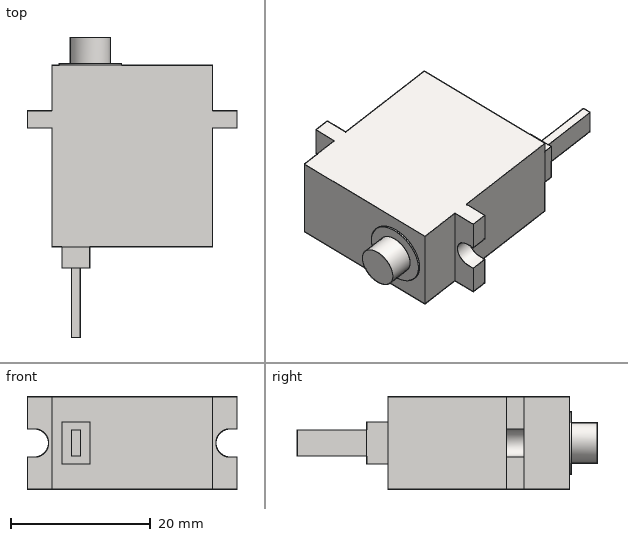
import cadquery as cq

case_width = 23.0
case_length = 26.0
case_height = 13.25

ear_span = 30.0
ear_thickness = 2.5
ear_setback = 6.5
slot_width = 4.0
slot_depth = 3.0

shaft_diameter = 5.8
shaft_length = 4.0
shaft_inset = 5.5
collar_diameter = 9.0
collar_thickness = 0.25

cable_inset = 3.45
relief_width = 4.0
relief_height = 6.0
relief_length = 3.0
cable_width = 1.3
cable_height = 3.75

total_length = 43.0
output_face = total_length / 2 - shaft_length
rear_face = output_face - case_length
relief_end = rear_face - relief_length
cable_length = total_length / 2 + relief_end
ear_front = output_face - ear_setback

case_side = -case_width / 2
shaft_x = case_side + shaft_inset
cable_x = case_side + cable_inset


def block(width, height, y_front, length, x=0):
    """Box centred on x and Z = 0 that runs from y_front towards -Y."""
    return cq.Workplane("XY").box(width, length, height).translate((x, y_front - length / 2, 0))


def output_cylinder(diameter, length):
    """Cylinder on the shaft axis that rises from the output face."""
    return (
        cq.Workplane("XZ", origin=(shaft_x, output_face, 0))
        .circle(diameter / 2)
        .extrude(-length)
    )


def ears():
    """Full-height plate with a round-ended screw slot open at each end."""
    plate = block(ear_span, case_height, ear_front, ear_thickness)
    slots = (
        cq.Workplane("XZ", origin=(0, ear_front, 0))
        .pushPoints([(-ear_span / 2, 0), (ear_span / 2, 0)])
        .slot2D(2 * slot_depth, slot_width)
        .extrude(ear_thickness)
    )
    return plate.cut(slots)


result = (
    block(case_width, case_height, output_face, case_length)
    .union(ears())
    .union(output_cylinder(collar_diameter, collar_thickness))
    .union(output_cylinder(shaft_diameter, shaft_length))
    .union(block(relief_width, relief_height, rear_face, relief_length, cable_x))
    .union(block(cable_width, cable_height, relief_end, cable_length, cable_x))
)